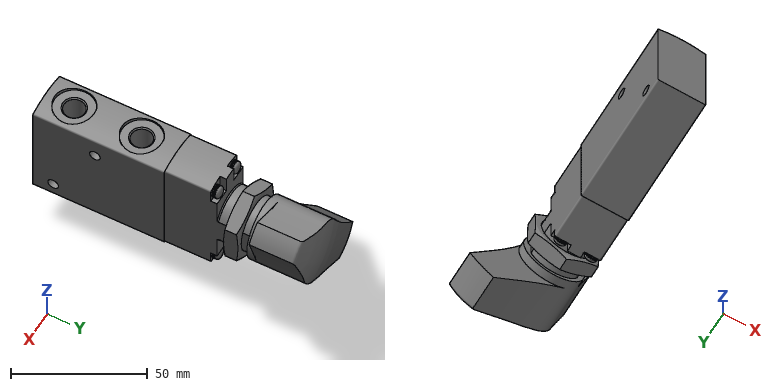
import cadquery as cq
import math


BODY_END = 55.0
CAP_END = 77.0
NUT_START = 81.7
NUT_END = 87.9
NECK_END = 91.3
FLANGE_END = 94.7
KNOB_END = 116.4

BODY_WIDTH = 20.5
CAP_WIDTH = 19.7
BOTTOM_Z = -20.8
CROWN_Z = 22.8
CROWN_RADIUS = 33.0
EDGE_RADIUS = 0.7

PORT_Y = (11.8, 40.0)
PORT_RECESS_DIAMETER = 16.5
PORT_RECESS_DEPTH = 1.7
PORT_DIAMETER = 8.6
PORT_MOUTH_DIAMETER = 9.7
PORT_DEPTH = 14.0

MOUNT_HOLES = ((8.6, -15.0), (26.1, 13.0))
MOUNT_HOLE_DIAMETER = 4.4

NECK_DIAMETER = 22.2
NECK_FLARE_DIAMETER = 22.7
NECK_FLARE_LENGTH = 0.6
STOP_PIN_DIAMETER = 2.5
STOP_PIN_LENGTH = 1.0
STOP_PIN_BOTTOM_Z = -12.5

SCREW_X = 6.5
SCREW_ROWS = ((-1, 18.0), (1, 18.4))
SCREW_HEAD_DIAMETER = 5.1
SCREW_DOME_RADIUS = 1.2
POCKET_DEPTH = 2.7
POCKET_INNER_X = 2.8
KNURL_HEIGHT = 1.3
KNURL_COUNT = 18
KNURL_WIDTH = 0.3

NUT_ACROSS_FLATS = 27.0
NUT_CHAMFER_DIAMETER = 26.3
NUT_CHAMFER_ANGLE = 15.0

LEVER_ANGLE = 45.0
HUB_DIAMETER = 26.0
TIP_RADIUS = 41.3
TIP_HALF_WIDTH = 7.1
ARM_U = -24.1
ARM_HALF_WIDTH = 8.8
HUB_ARM_U = -3.6
HUB_TAIL_U = 6.2
TAIL_U = 14.4
TAIL_HALF_WIDTH = 7.2
TAIL_END_RADIUS = 20.8
TAIL_END_HALF_WIDTH = 4.4
KNOB_END_FILLET = 1.2

SPINE_RADIUS = 69.8
SPINE_PEAK_U = 1.2
SPINE_SLOPE_ANGLE = 9.6
SPINE_TAIL_ANGLE = 30.0
SPINE_ARM_LENGTH = 37.2
CROSS_RADIUS = 54.7
CROSS_HALF_WIDTH = 16.3
CROSS_DEPTH = 40.7


def circle_v(radius, u):
    """Height of a circle about the origin at the position u."""
    return math.sqrt(radius**2 - u**2)


def y_cylinder(diameter, y_start, y_end, x=0.0, z=0.0):
    """Cylinder along +Y between two stations."""
    disc = cq.Workplane("XZ", origin=(x, y_start, z)).circle(diameter / 2)
    return disc.extrude(y_start - y_end)


def crowned_block(width, y_start, y_end):
    """Rectangular bar along Y with an arched top and rounded long edges."""
    half = width / 2
    shoulder_z = CROWN_Z - CROWN_RADIUS + circle_v(CROWN_RADIUS, half)
    block = (
        cq.Workplane("XZ", origin=(0, y_start, 0))
        .moveTo(-half, BOTTOM_Z)
        .lineTo(half, BOTTOM_Z)
        .lineTo(half, shoulder_z)
        .threePointArc((0, CROWN_Z), (-half, shoulder_z))
        .close()
        .extrude(y_start - y_end)
    )
    return block.edges("|Y").fillet(EDGE_RADIUS)


def port_cutter(y):
    """Shallow recess with a blind port whose mouth is chamfered."""
    floor_z = CROWN_Z - PORT_RECESS_DEPTH
    mouth_radius = PORT_MOUTH_DIAMETER / 2
    port_radius = PORT_DIAMETER / 2
    half_section = [
        (0, CROWN_Z),
        (PORT_RECESS_DIAMETER / 2, CROWN_Z),
        (PORT_RECESS_DIAMETER / 2, floor_z),
        (mouth_radius, floor_z),
        (port_radius, floor_z - (mouth_radius - port_radius)),
        (port_radius, floor_z - PORT_DEPTH),
        (0, floor_z - PORT_DEPTH),
    ]
    cutter = cq.Workplane("XZ").polyline(half_section).close().revolve(360, (0, 0, 0), (0, 1, 0))
    return cutter.translate((0, y, 0))


def make_body():
    """Valve body with two ports and two cross holes."""
    body = crowned_block(BODY_WIDTH, 0, BODY_END)
    for y in PORT_Y:
        body = body.cut(port_cutter(y))
    holes = (
        cq.Workplane("YZ")
        .pushPoints(MOUNT_HOLES)
        .circle(MOUNT_HOLE_DIAMETER / 2)
        .extrude(BODY_WIDTH, both=True)
    )
    return body.cut(holes)


def make_neck():
    """Neck with side flats level with the cap and a small flare at its root."""
    neck = y_cylinder(NECK_DIAMETER, CAP_END, NECK_END)
    flare = (
        cq.Workplane("XZ", origin=(0, CAP_END, 0))
        .circle(NECK_FLARE_DIAMETER / 2)
        .workplane(offset=-NECK_FLARE_LENGTH)
        .circle(NECK_DIAMETER / 2)
        .loft()
    )
    between_flats = cq.Workplane("XY").box(CAP_WIDTH, 2 * NECK_END, 2 * NECK_DIAMETER)
    return neck.union(flare).intersect(between_flats)


def make_screw_head(x, z):
    """Domed screw head with a knurled lower rim, seated on a pocket floor."""
    floor_y = CAP_END - POCKET_DEPTH
    head = y_cylinder(SCREW_HEAD_DIAMETER, floor_y, CAP_END).faces(">Y").edges().fillet(SCREW_DOME_RADIUS)
    grooves = (
        cq.Workplane("XZ", origin=(0, floor_y, 0))
        .polarArray(SCREW_HEAD_DIAMETER / 2, 0, 360, KNURL_COUNT)
        .rect(KNURL_WIDTH, KNURL_WIDTH)
        .extrude(-KNURL_HEIGHT)
    )
    return head.cut(grooves).translate((x, 0, z))


def make_pocket(side_x, side_z, screw_z):
    """Corner pocket around one screw head, open at the side, the end and the top or bottom."""
    reach = BODY_WIDTH
    inner_z = screw_z - SCREW_HEAD_DIAMETER / 2
    pocket = cq.Workplane("XY").box(reach, POCKET_DEPTH, reach)
    return pocket.translate((
        side_x * (POCKET_INNER_X + reach / 2),
        CAP_END - POCKET_DEPTH / 2,
        side_z * (inner_z + reach / 2),
    ))


def make_cap():
    """End cap with its neck, stop pin and four corner screw heads."""
    cap = crowned_block(CAP_WIDTH, BODY_END, CAP_END)
    for side_x in (-1, 1):
        for side_z, screw_z in SCREW_ROWS:
            cap = cap.cut(make_pocket(side_x, side_z, screw_z))
            cap = cap.union(make_screw_head(side_x * SCREW_X, side_z * screw_z))
    pin_z = STOP_PIN_BOTTOM_Z + STOP_PIN_DIAMETER / 2
    stop_pin = y_cylinder(STOP_PIN_DIAMETER, CAP_END, CAP_END + STOP_PIN_LENGTH, z=pin_z)
    return cap.union(make_neck()).union(stop_pin)


def make_nut():
    """Hexagon nut, chamfered at both ends, with flats facing +X and -X."""
    corner_radius = NUT_ACROSS_FLATS / math.sqrt(3)
    nut = (
        cq.Workplane("XZ", origin=(0, NUT_START, 0))
        .transformed(rotate=(0, 0, 30))
        .polygon(6, 2 * corner_radius)
        .extrude(NUT_START - NUT_END)
    )
    chamfer_radius = NUT_CHAMFER_DIAMETER / 2
    chamfer_drop = (corner_radius - chamfer_radius) * math.tan(math.radians(NUT_CHAMFER_ANGLE))
    envelope = (
        cq.Workplane("XY")
        .moveTo(0, NUT_START)
        .lineTo(chamfer_radius, NUT_START)
        .lineTo(corner_radius, NUT_START + chamfer_drop)
        .lineTo(corner_radius, NUT_END - chamfer_drop)
        .lineTo(chamfer_radius, NUT_END)
        .lineTo(0, NUT_END)
        .close()
        .revolve(360, (0, 0, 0), (0, 1, 0))
    )
    return nut.intersect(envelope).cut(y_cylinder(NECK_DIAMETER, NUT_START, NUT_END))


def make_lever():
    """Lever outline pulled up to the knob end, along u (X) before it is turned."""
    hub_radius = HUB_DIAMETER / 2
    tip_u = -circle_v(TIP_RADIUS, TIP_HALF_WIDTH)
    tail_end_u = circle_v(TAIL_END_RADIUS, TAIL_END_HALF_WIDTH)
    hub_mid_u = (HUB_ARM_U + HUB_TAIL_U) / 2
    tip_mid_v = TIP_HALF_WIDTH / 2
    tail_mid_v = TAIL_END_HALF_WIDTH / 2
    half = (
        cq.Workplane("XZ", origin=(0, FLANGE_END, 0))
        .moveTo(-TIP_RADIUS, 0)
        .threePointArc((-circle_v(TIP_RADIUS, tip_mid_v), tip_mid_v), (tip_u, TIP_HALF_WIDTH))
        .lineTo(ARM_U, ARM_HALF_WIDTH)
        .tangentArcPoint((HUB_ARM_U, circle_v(hub_radius, HUB_ARM_U)), relative=False)
        .threePointArc(
            (hub_mid_u, circle_v(hub_radius, hub_mid_u)),
            (HUB_TAIL_U, circle_v(hub_radius, HUB_TAIL_U)),
        )
        .tangentArcPoint((TAIL_U, TAIL_HALF_WIDTH), relative=False)
        .lineTo(tail_end_u, TAIL_END_HALF_WIDTH)
        .threePointArc((circle_v(TAIL_END_RADIUS, tail_mid_v), tail_mid_v), (TAIL_END_RADIUS, 0))
        .close()
        .extrude(FLANGE_END - KNOB_END)
    )
    return half.union(half.mirror("XY")).clean()


def make_crown():
    """Solid under the crowned knob surface, in lever axes."""
    slope = math.radians(SPINE_SLOPE_ANGLE)
    tail = math.radians(SPINE_TAIL_ANGLE)
    centre_y = KNOB_END - SPINE_RADIUS

    def on_arc(angle):
        return (SPINE_PEAK_U + SPINE_RADIUS * math.sin(angle), centre_y + SPINE_RADIUS * math.cos(angle))

    join = on_arc(-slope)
    start = (join[0] - SPINE_ARM_LENGTH * math.cos(slope), join[1] - SPINE_ARM_LENGTH * math.sin(slope))
    spine = cq.Workplane("XY").moveTo(*start).lineTo(*join).threePointArc(on_arc(0), on_arc(tail))

    edge_drop = CROSS_RADIUS - circle_v(CROSS_RADIUS, CROSS_HALF_WIDTH)
    section_plane = cq.Plane(
        origin=(start[0], start[1], 0),
        xDir=(0, 0, -1),
        normal=(math.cos(slope), math.sin(slope), 0),
    )
    return (
        cq.Workplane(section_plane)
        .moveTo(-CROSS_HALF_WIDTH, -CROSS_DEPTH)
        .lineTo(CROSS_HALF_WIDTH, -CROSS_DEPTH)
        .lineTo(CROSS_HALF_WIDTH, -edge_drop)
        .threePointArc((0, 0), (-CROSS_HALF_WIDTH, -edge_drop))
        .close()
        .sweep(spine)
    )


def make_knob():
    """Crowned lever knob with a round flange that seats on the neck."""
    lever = make_lever().intersect(make_crown())
    for end_face in ("<X", ">X"):
        lever = lever.faces(end_face).edges(">Y").fillet(KNOB_END_FILLET)
    lever = lever.rotate((0, 0, 0), (0, 1, 0), -LEVER_ANGLE)
    return lever.union(y_cylinder(HUB_DIAMETER, NECK_END, FLANGE_END))


body = make_body()
cap = make_cap()
nut = make_nut()
knob = make_knob()

bodies = (body, cap, nut, knob)
result = cq.Compound.makeCompound([part.solids().val() for part in bodies])